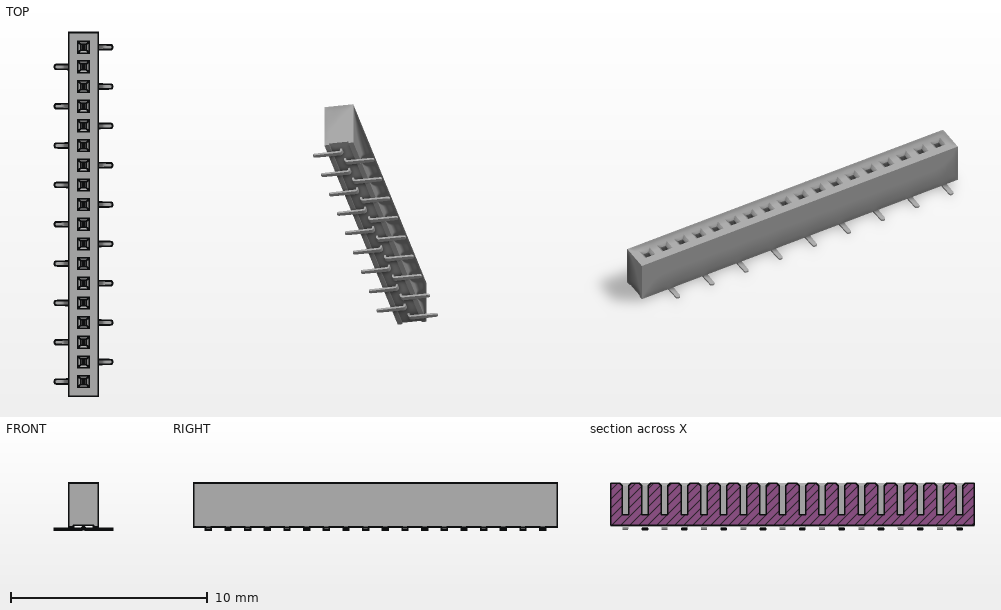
import cadquery as cq

pin_count = 18
pitch = 1.0
end_margin = 0.75
body_width = 1.5
body_length = (pin_count - 1) * pitch + 2 * end_margin
total_height = 2.4
standoff = 0.15
foot_span = 2.95

channel_width = 1.0
channel_depth = 0.08

mouth_size = 0.6
bore_size = 0.3
mouth_depth = 0.15
bore_depth = 1.6

metal_thickness = 0.1
contact_width = 0.3
foot_tip_width = 0.24
foot_tip_fillet = 0.1
inner_bend_radius = 0.05
stem_exposed = 0.2

bore_floor = total_height - bore_depth
stem_top = bore_floor + stem_exposed


def make_body():
    """Rectangular housing with a channel along its underside."""
    body = cq.Workplane("XY").box(
        body_width, body_length, total_height - standoff, centered=(True, True, False)
    )
    channel = cq.Workplane("XY").box(
        channel_width, body_length, channel_depth, centered=(True, True, False)
    )
    return body.cut(channel).translate((0, 0, standoff))


def make_socket():
    """Cutter for one opening: a tapered mouth above a straight bore."""
    mouth = (
        cq.Workplane("XY", origin=(0, 0, total_height))
        .rect(mouth_size, mouth_size)
        .workplane(offset=-mouth_depth)
        .rect(bore_size, bore_size)
        .loft(ruled=True)
    )
    bore = (
        cq.Workplane("XY", origin=(0, 0, bore_floor))
        .rect(bore_size, bore_size)
        .extrude(bore_depth - mouth_depth)
    )
    return mouth.union(bore)


def make_contact():
    """L-shaped contact: a vertical stem bent into a tapered foot that points to +X."""
    half_metal = metal_thickness / 2
    half_root = contact_width / 2
    half_tip = foot_tip_width / 2
    outer_bend_radius = inner_bend_radius + metal_thickness
    foot_tip = foot_span / 2
    profile = (
        cq.Workplane("XZ", origin=(0, half_root, 0))
        .moveTo(-half_metal, stem_top)
        .lineTo(-half_metal, outer_bend_radius)
        .radiusArc((outer_bend_radius - half_metal, 0), -outer_bend_radius)
        .lineTo(foot_tip, 0)
        .lineTo(foot_tip, metal_thickness)
        .lineTo(half_metal + inner_bend_radius, metal_thickness)
        .radiusArc((half_metal, outer_bend_radius), inner_bend_radius)
        .lineTo(half_metal, stem_top)
        .close()
        .extrude(contact_width)
    )
    outline = (
        cq.Workplane("XY")
        .moveTo(-half_metal, -half_root)
        .lineTo(foot_tip, -half_tip)
        .lineTo(foot_tip, half_tip)
        .lineTo(-half_metal, half_root)
        .close()
        .extrude(stem_top)
        .edges("|Z and >X")
        .fillet(foot_tip_fillet)
    )
    return profile.intersect(outline)


def build():
    """Housing with its sockets cut and its contacts fused in place."""
    part = make_body()
    socket = make_socket()
    right_contact = make_contact()
    left_contact = right_contact.rotate((0, 0, 0), (0, 0, 1), 180)
    positions = [index * pitch - (pin_count - 1) * pitch / 2 for index in range(pin_count)]

    for y in positions:
        part = part.cut(socket.translate((0, y, 0)))

    for index, y in enumerate(positions):
        contact = left_contact if index % 2 == 0 else right_contact
        part = part.union(contact.translate((0, y, 0)))
    return part


result = build()